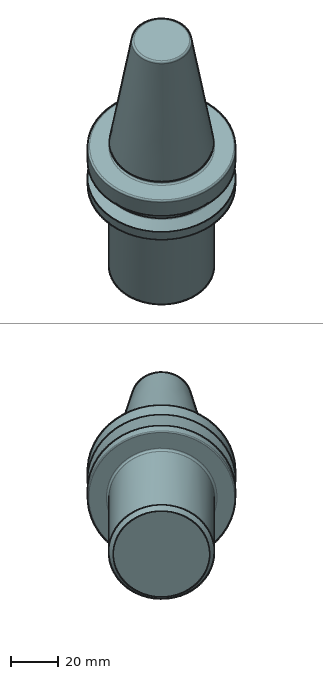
import cadquery as cq
import math


GAUGE_RADIUS = 44.45 / 2
TAPER_LENGTH = 65.4
RADIUS_PER_LENGTH = 7 / 24 / 2
TAPER_TIP_FILLET = 1.0

NECK_RADIUS = 21.7
NECK_TAPER_LENGTH = 0.8
NECK_FILLET = 0.8

FLANGE_RADIUS = 63.0 / 2
FLANGE_TOP_Z = -2.0
FLANGE_BOTTOM_Z = -27.0
FLANGE_TOP_FILLET = 0.8
FLANGE_BOTTOM_FILLET = 0.5

GROOVE_CENTER_Z = -16.6
GROOVE_RADIUS = 53.0 / 2
GROOVE_FLOOR_WIDTH = 4.4
GROOVE_ANGLE = 60.0
GROOVE_FILLET = 0.4

BODY_RADIUS = 45.0 / 2
BODY_BOTTOM_Z = -80.0
BODY_BOTTOM_CHAMFER = 2.0
BODY_FILLET = 1.0


def holder_profile():
    """Half section in the XZ plane, from the top of the axis down to its bottom."""
    tip_radius = GAUGE_RADIUS - TAPER_LENGTH * RADIUS_PER_LENGTH
    groove_depth = FLANGE_RADIUS - GROOVE_RADIUS
    flank_height = groove_depth * math.tan(math.radians(GROOVE_ANGLE / 2))
    groove_floor_top = GROOVE_CENTER_Z + GROOVE_FLOOR_WIDTH / 2
    groove_floor_bottom = GROOVE_CENTER_Z - GROOVE_FLOOR_WIDTH / 2

    return (
        cq.Workplane("XZ")
        .moveTo(0, TAPER_LENGTH)
        .lineTo(tip_radius, TAPER_LENGTH)
        .lineTo(GAUGE_RADIUS, 0)
        .lineTo(NECK_RADIUS, -NECK_TAPER_LENGTH)
        .lineTo(NECK_RADIUS, FLANGE_TOP_Z + NECK_FILLET)
        .radiusArc((NECK_RADIUS + NECK_FILLET, FLANGE_TOP_Z), -NECK_FILLET)
        .lineTo(FLANGE_RADIUS - FLANGE_TOP_FILLET, FLANGE_TOP_Z)
        .radiusArc((FLANGE_RADIUS, FLANGE_TOP_Z - FLANGE_TOP_FILLET), FLANGE_TOP_FILLET)
        .lineTo(FLANGE_RADIUS, groove_floor_top + flank_height)
        .lineTo(GROOVE_RADIUS, groove_floor_top)
        .lineTo(GROOVE_RADIUS, groove_floor_bottom)
        .lineTo(FLANGE_RADIUS, groove_floor_bottom - flank_height)
        .lineTo(FLANGE_RADIUS, FLANGE_BOTTOM_Z + FLANGE_BOTTOM_FILLET)
        .radiusArc((FLANGE_RADIUS - FLANGE_BOTTOM_FILLET, FLANGE_BOTTOM_Z), FLANGE_BOTTOM_FILLET)
        .lineTo(BODY_RADIUS + BODY_FILLET, FLANGE_BOTTOM_Z)
        .radiusArc((BODY_RADIUS, FLANGE_BOTTOM_Z - BODY_FILLET), -BODY_FILLET)
        .lineTo(BODY_RADIUS, BODY_BOTTOM_Z + BODY_BOTTOM_CHAMFER)
        .lineTo(BODY_RADIUS - BODY_BOTTOM_CHAMFER, BODY_BOTTOM_Z)
        .lineTo(0, BODY_BOTTOM_Z)
        .close()
    )


def fillet_taper_tip(solid):
    """Round the rim of the small end of the taper."""
    return solid.faces(">Z").edges().fillet(TAPER_TIP_FILLET)


def fillet_groove_corners(solid):
    """Round the two corners between the groove floor and its flanks."""
    half_band = GROOVE_FLOOR_WIDTH / 2 + GROOVE_FILLET
    groove_floor_band = cq.selectors.BoxSelector(
        (-FLANGE_RADIUS, -FLANGE_RADIUS, GROOVE_CENTER_Z - half_band),
        (FLANGE_RADIUS, FLANGE_RADIUS, GROOVE_CENTER_Z + half_band),
    )
    return solid.edges("%CIRCLE").edges(groove_floor_band).fillet(GROOVE_FILLET)


axis_start = (0, 0)
axis_end = (0, 1)
holder = holder_profile().revolve(360, axis_start, axis_end)
holder = fillet_taper_tip(holder)
result = fillet_groove_corners(holder)